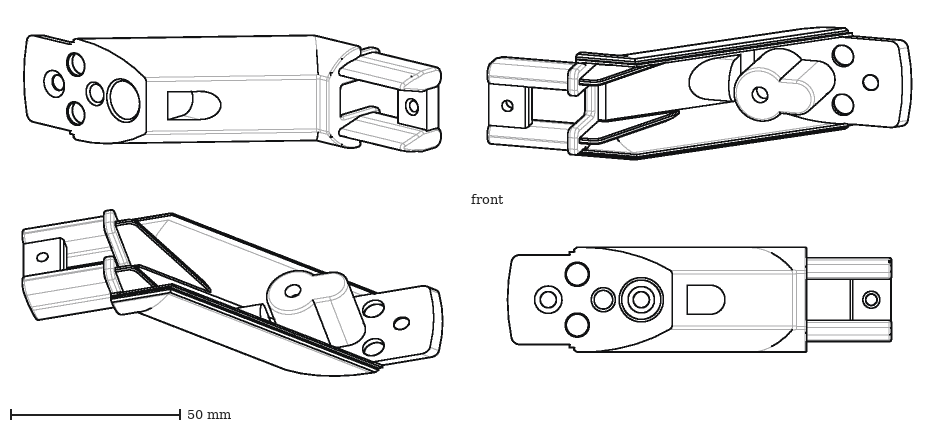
import cadquery as cq
import math

SLOPE = math.sqrt(0.5)
EPS = 0.01
BIG = 200.0

total_length = 113.36
total_height = 59.61
arm_width = 31.0

arm_back_x = 18.3
arm_front_x = 48.6
arm_depth = (arm_front_x - arm_back_x) * SLOPE
arm_top_y = 51.1
arm_front_half = 8.3
arm_side_flat = 2.4
front_edge_radius = 1.5
wall = 2.0
lip_depth = 0.9
rim_chamfer = 0.7
end_edge_radius = 0.5
lip_half = 14.15
cavity_half = 13.4
cavity_front_half = 7.8

foot_thickness = 2.2
foot_half = 13.25
foot_end_bulge = 1.6
foot_corner_radius = 2.6
foot_rear_x = 30.0

pin_hole_x = 12.05
pin_hole_dia = 4.7
pin_countersink_dia = 8.1
side_hole_x = 20.6
side_hole_z = 7.5
side_hole_dia = 6.5
side_hole_edge_dia = 7.1
pilot_x = 28.3
pilot_dia = 5.5
pilot_edge_dia = 7.1
pilot_depth = 18.0
bolt_x = 39.5
bolt_dia = 4.7
bolt_seat_dia = 7.8
bolt_bore_dia = 11.6
bolt_bore_edge_dia = 13.1
bolt_bore_depth = 18.0

boss_top_y = 24.2
pilot_boss_radius = 5.3
bolt_boss_radius = 8.2
boss_edge_radius = 0.8

slot_start_x = 53.1
slot_half = 4.3
slot_top_y = 15.6

flange_back_x = 85.3
flange_front_x = 88.3
flange_half = 13.2
flange_slot_half = 4.9
flange_slot_y = 42.1
flange_corner_radius = 2.4
flange_slot_radius = 1.0
flange_edge_radius = 0.8

rib_z = 9.0
rib_thickness = 1.7
rib_top_y = 56.9
rib_foot_y = 18.5
rib_shoulder_x = 79.6
rib_shoulder_radius = 3.5
rib_edge_chamfer = 0.45

prong_inner = 6.0
prong_outer = 12.4
prong_nose_y = 40.9
prong_top_y = 58.7
prong_top_radius = 3.0
prong_nose_radius = 1.15
prong_nose_inner = 8.1
prong_front_bulge = 0.25
prong_step_low_y = 48.0
prong_step_high_y = 50.2
prong_step = 0.6
prong_end_radius = 0.8

bar_start_x = 101.1
bar_end_inset = 0.15
bar_low_y = 51.9
bar_high_y = 57.2
bar_chamfer = 0.8
bar_hole_x = 107.4
bar_hole_dia = 3.3
bar_countersink_dia = 5.0


def block(x0, x1, y0, y1, half_width):
    """Box centred across the width."""
    outline = cq.Workplane("XY").moveTo(x0, y0).lineTo(x1, y0).lineTo(x1, y1).lineTo(x0, y1).close()
    return outline.extrude(half_width, both=True)


def arc_middle(start_t, start_z, end_t, end_z):
    """Middle point of the arc that leaves the start parallel to t and passes through the end."""
    run = end_t - start_t
    drop = start_z - end_z
    radius = (run**2 + drop**2) / (2 * drop)
    half_angle = math.asin(run / radius) / 2
    return start_t + radius * math.sin(half_angle), start_z - radius * (1 - math.cos(half_angle))


def section_plane(along):
    """Plane square to the arm, with local x as the depth t, at a distance along the arm."""
    shift = along * SLOPE
    return cq.Plane(origin=(arm_back_x + shift, shift, 0), xDir=(1, -1, 0), normal=(1, 1, 0))


def bent_body(back_t, half, front_t, front_half, end_x):
    """Sweep a D-shaped section up the slope, then along X as far as end_x."""
    mid_t, mid_z = arc_middle(arm_side_flat, half, front_t, front_half)
    bend = arm_top_y / SLOPE

    def section(along):
        return (
            cq.Workplane(section_plane(along))
            .moveTo(back_t, -half)
            .lineTo(arm_side_flat, -half)
            .threePointArc((mid_t, -mid_z), (front_t, -front_half))
            .lineTo(front_t, front_half)
            .threePointArc((mid_t, mid_z), (arm_side_flat, half))
            .lineTo(back_t, half)
            .close()
        )

    overrun = arm_depth * 2
    slope = section(-overrun).extrude(overrun + bend)
    bend_face = cq.Face.makeFromWires(section(bend).wires().val())
    level = cq.Workplane(cq.Solid.extrudeLinear(bend_face, cq.Vector(BIG, 0, 0)))
    return slope.union(level).intersect(block(-BIG, end_x, 0, BIG, BIG))


def edges_at_depth(body, t):
    """Edges along the arm at depth t but not its two ends."""
    slope_x = arm_back_x + t / SLOPE
    level_y = arm_top_y - t * SLOPE

    def is_wanted(edge):
        middle = edge.positionAt(0.5)
        on_slope = abs(middle.x - middle.y - slope_x) < EPS
        on_level = abs(middle.y - level_y) < EPS
        between_ends = EPS < middle.y and middle.x < flange_front_x - EPS
        return (on_slope or on_level) and between_ends

    return body.newObject([edge for edge in body.edges().vals() if is_wanted(edge)])


def arm_shell():
    """Solid outside of the arm with its front and end edges rounded and its back rim chamfered."""
    body = bent_body(lip_depth, arm_width / 2, arm_depth, arm_front_half, flange_front_x)
    body = edges_at_depth(body, arm_depth).fillet(front_edge_radius)
    back = edges_at_depth(body, lip_depth).vals()
    sides = [edge for edge in back if abs(edge.Center().z) > arm_width / 2 - EPS]
    body = body.newObject(sides).chamfer(rim_chamfer)
    end_top_y = arm_top_y - arm_side_flat * SLOPE

    def on_end(edge):
        box = edge.BoundingBox()
        return box.xmin > flange_front_x - EPS and box.ymax < end_top_y + EPS

    return body.newObject([edge for edge in body.edges().vals() if on_end(edge)]).fillet(end_edge_radius)


def foot():
    """Plate with a bowed end, leaning with the arm."""
    outline = (
        cq.Workplane("XZ")
        .moveTo(foot_rear_x, -foot_half)
        .lineTo(foot_end_bulge, -foot_half)
        .threePointArc((0, 0), (foot_end_bulge, foot_half))
        .lineTo(foot_rear_x, foot_half)
        .close()
    )
    face = cq.Face.makeFromWires(outline.wires().val())
    corners = [v for v in face.Vertices() if v.X < foot_rear_x / 2]
    face = face.fillet2D(foot_corner_radius, corners)
    lean = cq.Vector(foot_thickness, foot_thickness, 0)
    return cq.Workplane(cq.Solid.extrudeLinear(face, lean))


def post(x, radius, height, z=0):
    """Cylinder standing on the mounting face."""
    return cq.Workplane("XZ").center(x, z).circle(radius).extrude(-height)


def cone(x, z, start_y, start_dia, end_dia, height):
    """Cone along Y from start_y."""
    solid = cq.Solid.makeCone(
        start_dia / 2, end_dia / 2, height, pnt=cq.Vector(x, start_y, z), dir=cq.Vector(0, 1, 0)
    )
    return cq.Workplane(solid)


def flared_hole(x, z, dia, edge_dia, depth):
    """Hole from the mounting face with a 45 degree countersink."""
    flare = cone(x, z, 0, edge_dia, dia, (edge_dia - dia) / 2)
    return post(x, dia / 2, depth, z).union(flare)


def boss():
    """Two round lobes joined by a bridge."""
    bridge = block(pilot_x, bolt_x, 0, boss_top_y, pilot_boss_radius)
    lobes = post(pilot_x, pilot_boss_radius, boss_top_y).union(post(bolt_x, bolt_boss_radius, boss_top_y))
    return lobes.union(bridge).faces(">Y").edges().fillet(boss_edge_radius)


def foot_holes():
    """All holes that open on the mounting face."""
    holes = flared_hole(pin_hole_x, 0, pin_hole_dia, pin_countersink_dia, foot_thickness)
    for z in (-side_hole_z, side_hole_z):
        holes = holes.union(flared_hole(side_hole_x, z, side_hole_dia, side_hole_edge_dia, foot_thickness))
    drill_tip = cone(pilot_x, 0, pilot_depth, pilot_dia, 0, pilot_dia / 2)
    holes = holes.union(flared_hole(pilot_x, 0, pilot_dia, pilot_edge_dia, pilot_depth)).union(drill_tip)
    bolt_seat = cone(bolt_x, 0, bolt_bore_depth, bolt_seat_dia, bolt_dia, (bolt_seat_dia - bolt_dia) / 2)
    holes = holes.union(flared_hole(bolt_x, 0, bolt_bore_dia, bolt_bore_edge_dia, bolt_bore_depth))
    return holes.union(bolt_seat).union(post(bolt_x, bolt_dia / 2, BIG))


def arched_bar(start_x, half, top_y):
    """Bar along X with a half-round top, from start_x to just outside the front wall."""
    spring_y = top_y - half
    return (
        cq.Workplane("YZ", origin=(start_x, 0, 0))
        .moveTo(0, -half)
        .lineTo(spring_y, -half)
        .threePointArc((top_y, 0), (spring_y, half))
        .lineTo(0, half)
        .close()
        .extrude(arm_front_x + top_y + wall - start_x)
    )


def flange_slot():
    """Opening between the prongs, with rounded lower corners."""
    slot = block(flange_back_x, flange_front_x, flange_slot_y, BIG, flange_slot_half)
    return slot.faces("<Y").edges("|X").fillet(flange_slot_radius)


def add_flange(body):
    """Raise the closing plate above the arm, open its slot and round the free edges."""
    plate = block(flange_back_x, flange_front_x, flange_slot_y, total_height, flange_half)
    plate = plate.cut(flange_slot()).faces(">Y").edges("|X").fillet(flange_corner_radius)
    body = body.union(plate).cut(flange_slot())

    def on_rim(edge):
        box = edge.BoundingBox()
        on_face = min(abs(box.xmin - flange_back_x), abs(box.xmin - flange_front_x)) < EPS
        between_prongs = abs(edge.positionAt(0.5).z) < flange_slot_half + EPS
        around_slot = between_prongs and box.ymin > flange_slot_y - EPS
        above_arm = box.ymin > arm_top_y - EPS
        return box.xlen < EPS and on_face and (around_slot or above_arm)

    return body.newObject([e for e in body.edges().vals() if on_rim(e)]).fillet(flange_edge_radius)


def ribs():
    """Pair of ribs that rise from the inner floor of the arm to the flange."""
    floor_t = arm_depth - wall
    floor_line_x = arm_back_x + floor_t / SLOPE
    level_floor_y = arm_top_y - floor_t * SLOPE
    profile = (
        cq.Workplane("XY")
        .moveTo(flange_front_x, rib_top_y)
        .lineTo(rib_shoulder_x, rib_top_y)
        .lineTo(floor_line_x + rib_foot_y, rib_foot_y)
        .lineTo(floor_line_x + level_floor_y, level_floor_y)
        .lineTo(flange_front_x, level_floor_y)
        .close()
        .extrude(rib_thickness / 2, both=True)
    )
    shoulder = cq.selectors.NearestToPointSelector((rib_shoulder_x, rib_top_y, 0))
    rib = profile.edges("|Z").edges(shoulder).fillet(rib_shoulder_radius)
    back_edge = cq.selectors.NearestToPointSelector((rib_shoulder_x, rib_top_y, rib_thickness))
    other_edge = cq.selectors.NearestToPointSelector((rib_shoulder_x, rib_top_y, -rib_thickness))
    rib = rib.edges(back_edge + other_edge).chamfer(rib_edge_chamfer)
    return rib.translate((0, 0, rib_z)).union(rib.translate((0, 0, -rib_z)))


def prong():
    """Upper prong: a wall that steps inwards along its length and narrows to a round nose."""
    nose_outer = prong_nose_inner + 2 * prong_nose_radius
    nose_y = prong_nose_y + prong_nose_radius
    low_outer = prong_outer - prong_step
    front_middle_y = (prong_step_low_y + nose_y) / 2
    front_middle_z = (low_outer + nose_outer) / 2 + prong_front_bulge
    body = (
        cq.Workplane("YZ", origin=(flange_back_x + flange_edge_radius, 0, 0))
        .moveTo(nose_y, prong_nose_inner)
        .lineTo(prong_step_low_y, prong_inner + prong_step)
        .lineTo(prong_step_high_y, prong_inner)
        .lineTo(prong_top_y, prong_inner)
        .lineTo(prong_top_y, prong_outer)
        .lineTo(prong_step_high_y, prong_outer)
        .lineTo(prong_step_low_y, low_outer)
        .threePointArc((front_middle_y, front_middle_z), (nose_y, nose_outer))
        .threePointArc((prong_nose_y, nose_outer - prong_nose_radius), (nose_y, prong_nose_inner))
        .close()
        .extrude(total_length - flange_back_x - flange_edge_radius)
    )
    body = body.faces(">Y").edges("|X").fillet(prong_top_radius)
    return body.faces(">X").edges().fillet(prong_end_radius)


def cross_bar():
    """Bar joining the prong ends, sunk a little into both, with a countersunk hole."""
    end_x = total_length - bar_end_inset
    bar = block(bar_start_x, end_x, bar_low_y, bar_high_y, prong_inner + prong_end_radius)
    bar = bar.faces("<X").edges("|Z").chamfer(bar_chamfer)
    flare_depth = (bar_countersink_dia - bar_hole_dia) / 2
    flare = cone(bar_hole_x, 0, bar_low_y, bar_countersink_dia, bar_hole_dia, flare_depth)
    return bar.cut(post(bar_hole_x, bar_hole_dia / 2, BIG)).cut(flare)


lip = bent_body(0, lip_half, arm_depth - wall, cavity_front_half, flange_front_x)
envelope = arm_shell().union(lip)
cavity = bent_body(-wall, cavity_half, arm_depth - wall, cavity_front_half, flange_back_x)
cavity = cavity.intersect(block(-BIG, BIG, foot_thickness, BIG, BIG))

slot = arched_bar(slot_start_x, slot_half, slot_top_y)
slot_housing = arched_bar(slot_start_x - wall, slot_half + wall, slot_top_y + wall).intersect(envelope)

upper_prong = prong()

result = (
    add_flange(envelope.cut(cavity))
    .union(foot())
    .union(boss())
    .union(slot_housing)
    .union(ribs())
    .union(upper_prong)
    .union(upper_prong.mirror("XY"))
    .union(cross_bar())
    .cut(foot_holes())
    .cut(slot)
)